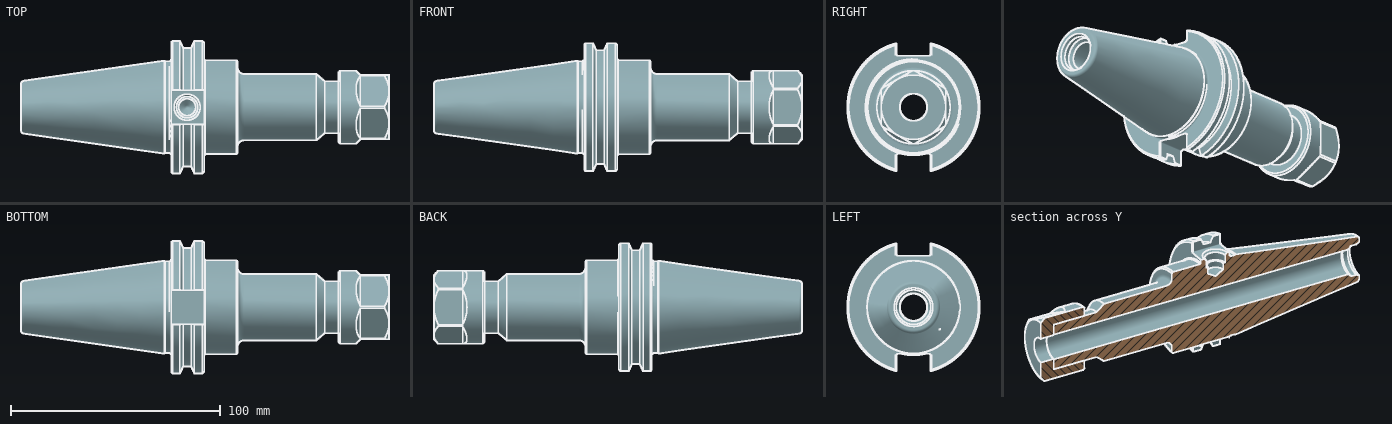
import cadquery as cq
import math

total_length = 175.5

taper_end = 68.3
flange_start = 71.5
flange_end = 87.4
collar_end = 103.3
body_end = 140.7
neck_start = 144.7

taper_small_d = 25.0
taper_large_d = 44.4
relief_d = 43.9
flange_d = 63.3
collar_d = 45.0
body_d = 31.8
neck_d = 25.0

taper_tip_fillet = 1.8
taper_back_run = 0.5
relief_fillet = 0.9
flange_front_chamfer = 0.7
flange_back_chamfer = 0.9
collar_fillet = 0.5
collar_chamfer = 0.7
body_fillet = 3.0

groove_d = 56.7
groove_start = 75.8
groove_end = 82.6
groove_floor_length = 3.7

slot_width = 16.1
slot_rim_chamfer = 0.4
slot_end_chamfer = 0.5
slot_floor_fillet = 0.5
top_slot_floor = 24.5
bottom_slot_floor = 22.3

side_hole_mouth_d = 12.5
side_hole_d = 10.2
side_hole_depth = 5.3
pilot_d = 8.0
pilot_depth = 8.8
drill_point_angle = 118.0

bore_mouth_d = 18.5
bore_mouth_depth = 1.8
entry_d = 16.5
entry_end = 4.5
bore_d = 13.3

nut_start = 151.2
nut_d = 35.0
nut_back_chamfer = 0.9
nut_front_chamfer = 2.1
nut_opening_d = 12.8
nut_wall = 7.0
hex_width = 30.7
hex_flat_start = 161.8
hex_sides = 6
hex_cutter_margin = 1.8

neck_end = total_length - nut_wall


def revolve_about_x(profile):
    """Revolve a closed profile, drawn with X along and Y outwards, about the X axis."""
    return profile.close().revolve(360, (0, 0, 0), (1, 0, 0))


def make_holder_blank():
    profile = (
        cq.Workplane("XY")
        .lineTo(0, taper_small_d / 2)
        .lineTo(taper_end, taper_large_d / 2)
        .lineTo(taper_end + taper_back_run, relief_d / 2)
        .lineTo(flange_start - relief_fillet, relief_d / 2)
        .radiusArc((flange_start, relief_d / 2 + relief_fillet), -relief_fillet)
        .lineTo(flange_start, flange_d / 2 - flange_front_chamfer)
        .lineTo(flange_start + flange_front_chamfer, flange_d / 2)
        .lineTo(flange_end - flange_back_chamfer, flange_d / 2)
        .lineTo(flange_end, flange_d / 2 - flange_back_chamfer)
        .lineTo(flange_end, collar_d / 2 + collar_fillet)
        .radiusArc((flange_end + collar_fillet, collar_d / 2), -collar_fillet)
        .lineTo(collar_end - collar_chamfer, collar_d / 2)
        .lineTo(collar_end, collar_d / 2 - collar_chamfer)
        .lineTo(collar_end, body_d / 2 + body_fillet)
        .radiusArc((collar_end + body_fillet, body_d / 2), -body_fillet)
        .lineTo(body_end, body_d / 2)
        .lineTo(neck_start, neck_d / 2)
        .lineTo(neck_end, neck_d / 2)
        .lineTo(neck_end, 0)
    )
    return revolve_about_x(profile).faces("<X").edges().fillet(taper_tip_fillet)


def make_groove():
    side_run = (groove_end - groove_start - groove_floor_length) / 2
    profile = (
        cq.Workplane("XY")
        .moveTo(groove_start, flange_d / 2)
        .lineTo(groove_start + side_run, groove_d / 2)
        .lineTo(groove_end - side_run, groove_d / 2)
        .lineTo(groove_end, flange_d / 2)
    )
    return revolve_about_x(profile)


def make_slot(floor):
    """Cutter for a slot facing +Z, widened by chamfers at the rim and at both flange faces."""
    half_width = slot_width / 2
    rim_half_width = half_width + slot_rim_chamfer
    rim_height = math.sqrt((flange_d / 2) ** 2 - rim_half_width ** 2)
    chamfer_start = rim_height - slot_rim_chamfer
    top = flange_d / 2
    flange_length = flange_end - flange_start
    channel = (
        cq.Workplane("YZ", origin=(flange_start, 0, 0))
        .moveTo(-half_width, floor)
        .lineTo(half_width, floor)
        .lineTo(half_width, chamfer_start)
        .lineTo(half_width + top - chamfer_start, top)
        .lineTo(-half_width - top + chamfer_start, top)
        .lineTo(-half_width, chamfer_start)
        .close()
        .extrude(flange_length)
        .faces("<Z").edges("|X").fillet(slot_floor_fillet)
    )
    end_chamfer = (
        cq.Workplane("XY", origin=(flange_start, 0, floor + slot_floor_fillet))
        .moveTo(0, -half_width - slot_end_chamfer)
        .lineTo(slot_end_chamfer, -half_width)
        .lineTo(slot_end_chamfer, half_width)
        .lineTo(0, half_width + slot_end_chamfer)
        .close()
        .extrude(top - floor)
    )
    flange_middle = (flange_start + flange_end) / 2
    other_end_chamfer = end_chamfer.mirror("YZ", (flange_middle, 0, 0))
    return channel.union(end_chamfer).union(other_end_chamfer)


def make_side_hole():
    mouth_depth = (side_hole_mouth_d - side_hole_d) / 2
    point_depth = pilot_d / 2 / math.tan(math.radians(drill_point_angle / 2))
    profile = (
        cq.Workplane("XZ")
        .lineTo(side_hole_mouth_d / 2, 0)
        .lineTo(side_hole_d / 2, -mouth_depth)
        .lineTo(side_hole_d / 2, -side_hole_depth)
        .lineTo(pilot_d / 2, -side_hole_depth)
        .lineTo(pilot_d / 2, -pilot_depth)
        .lineTo(0, -pilot_depth - point_depth)
        .close()
    )
    hole = profile.revolve(360, (0, 0, 0), (0, 1, 0))
    return hole.translate(((groove_start + groove_end) / 2, 0, top_slot_floor))


def make_bore():
    cone_length = (entry_d - bore_d) / 2
    profile = (
        cq.Workplane("XY")
        .lineTo(0, bore_mouth_d / 2)
        .lineTo(bore_mouth_depth, entry_d / 2)
        .lineTo(entry_end, entry_d / 2)
        .lineTo(entry_end + cone_length, bore_d / 2)
        .lineTo(neck_end, bore_d / 2)
        .lineTo(neck_end, 0)
    )
    return revolve_about_x(profile)


def make_holder():
    return (
        make_holder_blank()
        .cut(make_groove())
        .cut(make_slot(top_slot_floor))
        .cut(make_slot(bottom_slot_floor).mirror("XY"))
        .cut(make_side_hole())
        .cut(make_bore())
    )


def make_hex_cutter():
    """Wedge that cuts one flat facing +Y, with a 45 degree run-out at its back end."""
    flat = hex_width / 2
    rise = nut_d / 2 - flat + hex_cutter_margin
    return (
        cq.Workplane("XY")
        .moveTo(hex_flat_start, flat)
        .lineTo(total_length, flat)
        .lineTo(total_length, flat + rise)
        .lineTo(hex_flat_start - rise, flat + rise)
        .close()
        .extrude(nut_d / 2, both=True)
    )


def make_nut():
    profile = (
        cq.Workplane("XY")
        .moveTo(nut_start, neck_d / 2)
        .lineTo(nut_start, nut_d / 2 - nut_back_chamfer)
        .lineTo(nut_start + nut_back_chamfer, nut_d / 2)
        .lineTo(total_length - nut_front_chamfer, nut_d / 2)
        .lineTo(total_length, nut_d / 2 - nut_front_chamfer)
        .lineTo(total_length, nut_opening_d / 2)
        .lineTo(neck_end, nut_opening_d / 2)
        .lineTo(neck_end, neck_d / 2)
    )
    nut = revolve_about_x(profile)
    cutter = make_hex_cutter()
    for side in range(hex_sides):
        nut = nut.cut(cutter.rotate((0, 0, 0), (1, 0, 0), side * 360 / hex_sides))
    return nut


holder = make_holder()
collet_nut = make_nut()

result = cq.Compound.makeCompound([holder.val(), collet_nut.val()])